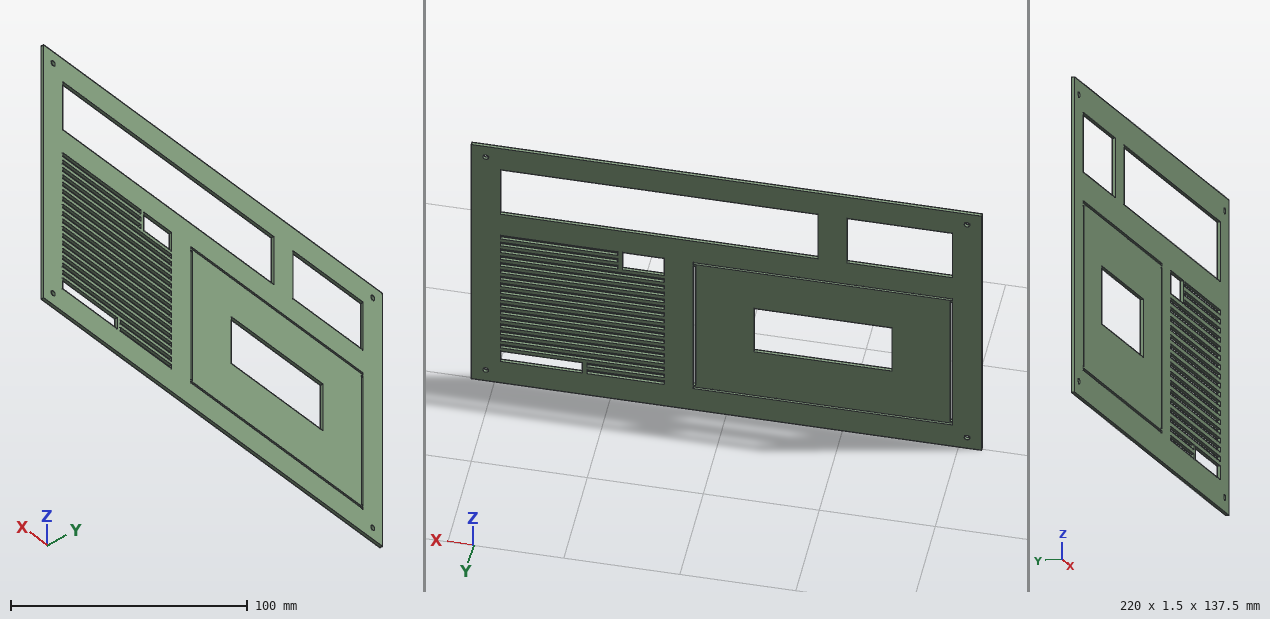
import cadquery as cq

panel_width = 220.0
panel_height = 137.5
panel_thickness = 1.5

margin = 12.5

hole_diameter = 2.5
hole_inset = margin / 2

upper_height = 26.0
upper_left_width = 45.5

lower_height = panel_height - upper_height - 3 * margin
frame_width = 111.8
frame_slot = 1.0
frame_bridge = 1.0
grille_width = panel_width - frame_width - 3 * margin

display_width = 59.5
display_height = 25.3
display_drop = 22.0

slot_count = 19
slot_height = lower_height / (2 * slot_count - 1)
rib = slot_height
slot_pitch = slot_height + rib
top_short_rows = 3
bottom_short_rows = 2
top_opening_width = 18.0
bottom_opening_width = grille_width / 2

lower_bottom = margin
lower_top = lower_bottom + lower_height
upper_bottom = lower_top + margin
frame_left = margin
frame_right = frame_left + frame_width
grille_left = frame_right + margin
grille_right = grille_left + grille_width


def opening(left, bottom, width, height):
    """Rectangular cutter through the full panel thickness."""
    return cq.Workplane("XY").box(width, panel_thickness, height, centered=False).translate((left, 0, bottom))


def rows_height(rows):
    """Height spanned by a number of slots and the ribs between them."""
    return rows * slot_pitch - rib


def upper_openings():
    right_left_edge = margin + upper_left_width + margin
    right_width = panel_width - margin - right_left_edge
    return [
        opening(margin, upper_bottom, upper_left_width, upper_height),
        opening(right_left_edge, upper_bottom, right_width, upper_height),
    ]


def frame_slots():
    """Four narrow slots around the display area, with a small bridge left at each corner."""
    side_offset = frame_slot + frame_bridge
    side_height = lower_height - 2 * side_offset
    cutters = []
    for bottom in (lower_bottom, lower_top - frame_slot):
        cutters.append(opening(frame_left, bottom, frame_width, frame_slot))
    for left in (frame_left, frame_right - frame_slot):
        cutters.append(opening(left, lower_bottom + side_offset, frame_slot, side_height))
    return cutters


def display_window():
    left = frame_left + (frame_width - display_width) / 2
    bottom = lower_top - display_drop - display_height
    return opening(left, bottom, display_width, display_height)


def grille_openings():
    top_opening_height = rows_height(top_short_rows)
    bottom_opening_height = rows_height(bottom_short_rows)
    cutters = [
        opening(grille_left, lower_top - top_opening_height, top_opening_width, top_opening_height),
        opening(grille_right - bottom_opening_width, lower_bottom, bottom_opening_width, bottom_opening_height),
    ]
    for row in range(slot_count):
        left = grille_left
        right = grille_right
        if row < bottom_short_rows:
            right -= bottom_opening_width + rib
        if row >= slot_count - top_short_rows:
            left += top_opening_width + rib
        cutters.append(opening(left, lower_bottom + row * slot_pitch, right - left, slot_height))
    return cutters


def screw_holes():
    cutters = []
    for x in (hole_inset, panel_width - hole_inset):
        for z in (hole_inset, panel_height - hole_inset):
            hole = cq.Workplane("XZ").center(x, z).circle(hole_diameter / 2).extrude(-panel_thickness)
            cutters.append(hole)
    return cutters


result = opening(0, 0, panel_width, panel_height)
for cutter in [*upper_openings(), *frame_slots(), display_window(), *grille_openings(), *screw_holes()]:
    result = result.cut(cutter)